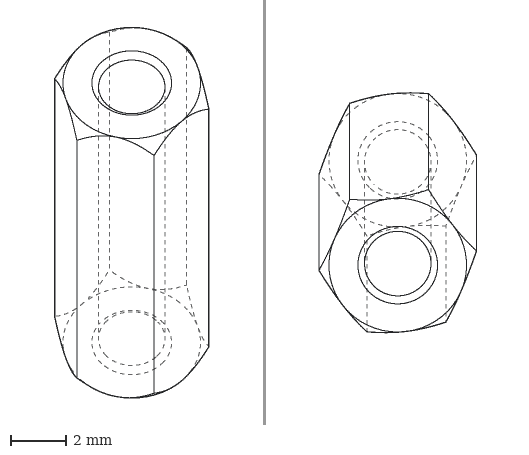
import cadquery as cq
import math

length = 16.0
across_corners = 5.78
half_side_angle = 30.0
across_flats = across_corners * math.cos(math.radians(half_side_angle))

corner_slope = 60.0
corner_radius = across_corners / 2
end_radius = across_flats / 2
corner_drop = (corner_radius - end_radius) * math.tan(math.radians(corner_slope))

bore_diameter = 2.42
countersink_diameter = 2.9
countersink_angle = 90.0


def hexagonal_bar():
    bar = cq.Workplane("XY").polygon(6, across_corners).extrude(length)
    return bar.rotate((0, 0, 0), (0, 0, 1), half_side_angle)


def corner_envelope():
    """Round body with conical ends that trims the corners of the bar."""
    return (
        cq.Workplane("XZ")
        .moveTo(0, 0)
        .lineTo(end_radius, 0)
        .lineTo(corner_radius, corner_drop)
        .lineTo(corner_radius, length - corner_drop)
        .lineTo(end_radius, length)
        .lineTo(0, length)
        .close()
        .revolve(360, (0, 0, 0), (0, 1, 0))
    )


def drill_countersunk_bore(body):
    body = body.faces(">Z").workplane(origin=(0, 0, 0)).cskHole(
        bore_diameter, countersink_diameter, countersink_angle
    )
    return body.faces("<Z").workplane(origin=(0, 0, 0)).cskHole(
        bore_diameter, countersink_diameter, countersink_angle
    )


result = drill_countersunk_bore(hexagonal_bar().intersect(corner_envelope()))